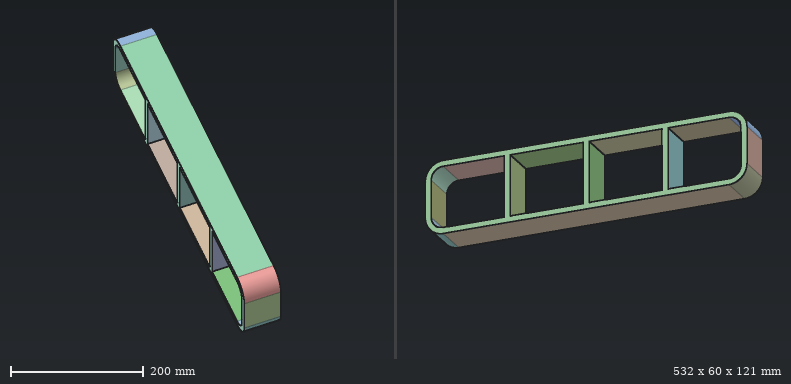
import cadquery as cq

length = 532.0
depth = 60.0
height = 121.0
wall = 10.0
corner_radius = 30.0
bay_count = 4

inner_length = length - 2 * wall
inner_height = height - 2 * wall
bay_pitch = (inner_length + wall) / bay_count


def rounded_bar(bar_length, bar_height, radius):
    """Bar centred on the origin, with its four corners rounded about Y."""
    return cq.Workplane("XY").box(bar_length, depth, bar_height).edges("|Y").fillet(radius)


frame = rounded_bar(length, height, corner_radius)
opening = rounded_bar(inner_length, inner_height, corner_radius - wall)
result = frame.cut(opening)

for index in range(1, bay_count):
    divider_x = (index - bay_count / 2) * bay_pitch
    divider = cq.Workplane("XY").box(wall, depth, inner_height + wall)
    result = result.union(divider.translate((divider_x, 0, 0)))